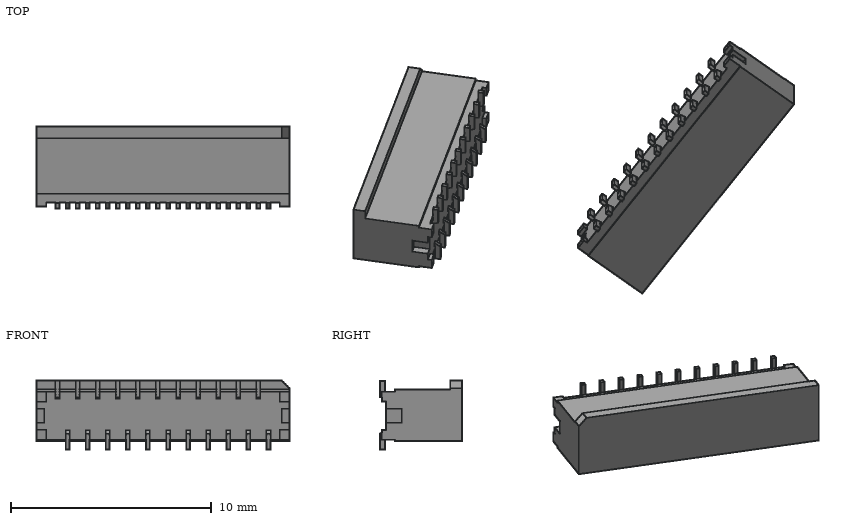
import cadquery as cq

length = 12.6
height = 3.03
rim_depth = 0.6
rim_drop = 0.45
shell_depth = 3.35
core_depth = 3.8
core_bottom = 0.07
core_top = 2.47
rim_chamfer = 0.4

foot_size = 0.5
foot_projection = 0.2

notch_width = 0.4
notch_depth = 0.8
notch_height = 0.68

pins_per_row = 11
pin_pitch = 1.0
pin_width = 0.2
pin_front = 4.1
blade_thickness = 0.26
blade_length = 0.8
overall_height = 3.45
lower_blade_tip = height - overall_height
upper_blade_tip = 3.0
upper_bend_rise = 0.075
lower_bend_rise = 0.155
leg_height = 0.2
leg_embed = 0.3

half_length = length / 2
core_middle = (core_bottom + core_top) / 2


def make_housing():
    """Extrude the stepped YZ section along the whole length."""
    shell_top = height - rim_drop
    section = [
        (0, 0),
        (0, height),
        (-rim_depth, height),
        (-rim_depth, shell_top),
        (-shell_depth, shell_top),
        (-shell_depth, core_top),
        (-core_depth, core_top),
        (-core_depth, core_bottom),
        (-shell_depth, core_bottom),
        (-shell_depth, 0),
    ]
    return cq.Workplane("YZ").polyline(section).close().extrude(half_length, both=True)


def chamfer_rim(housing):
    """Cut the +X end of the raised rim at 45 degrees."""
    corner = [
        (half_length - rim_chamfer, height),
        (half_length, height),
        (half_length, height - rim_chamfer),
    ]
    return housing.cut(cq.Workplane("XZ").polyline(corner).close().extrude(rim_depth))


def make_foot(side, bottom):
    """Small square foot on a front corner; side is -1 or +1 along X."""
    return (
        cq.Workplane("XY")
        .box(foot_size, foot_projection, foot_size, centered=(True, False, False))
        .translate((side * (half_length - foot_size / 2), -core_depth - foot_projection, bottom))
    )


def make_notch(side):
    """Rectangular recess in an end wall, open to the front."""
    return (
        cq.Workplane("XY")
        .box(notch_width, notch_depth, notch_height, centered=(True, False, True))
        .translate((side * (half_length - notch_width / 2), -core_depth, core_middle))
    )


def make_pin(x, tip, direction, bend_rise):
    """Leg out of the front face bent into a blade; direction is +1 up or -1 down.

    The outside of the bend slopes by bend_rise between the front face and the blade.
    """
    blade_end = tip - direction * blade_length
    leg_near = blade_end - direction * bend_rise
    leg_far = leg_near + direction * leg_height
    blade_back = pin_front - blade_thickness
    section = [
        (-pin_front, tip),
        (-pin_front, blade_end),
        (-core_depth, leg_near),
        (-core_depth + leg_embed, leg_near),
        (-core_depth + leg_embed, leg_far),
        (-blade_back, leg_far),
        (-blade_back, tip),
    ]
    pin = cq.Workplane("YZ").polyline(section).close().extrude(pin_width / 2, both=True)
    return pin.translate((x, 0, 0))


result = chamfer_rim(make_housing())
for side in (-1, 1):
    result = result.cut(make_notch(side))
    for foot_bottom in (core_bottom, core_top - foot_size):
        result = result.union(make_foot(side, foot_bottom))

row_stagger = pin_pitch / 2
for index in range(pins_per_row):
    x_in_row = (index - (pins_per_row - 1) / 2) * pin_pitch
    result = result.union(make_pin(x_in_row - row_stagger / 2, upper_blade_tip, 1, upper_bend_rise))
    result = result.union(make_pin(x_in_row + row_stagger / 2, lower_blade_tip, -1, lower_bend_rise))